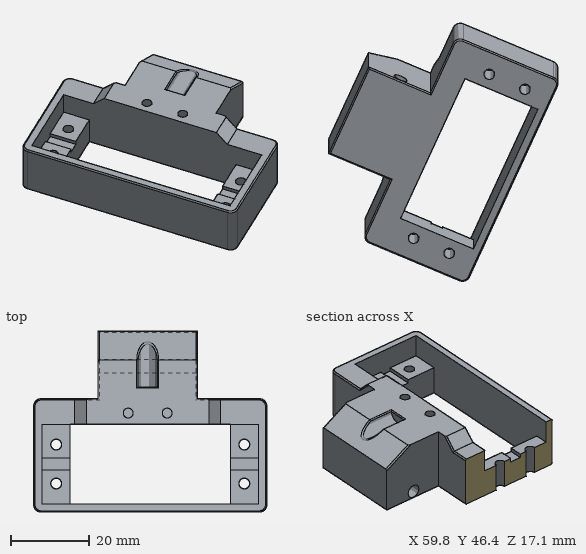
import cadquery as cq
import math

frame_length = 59.8
frame_depth = 29.1
frame_height = 14.0
corner_radius = 2.0
edge_chamfer = 0.35

end_wall = 2.2
front_wall = 2.15
opening_length = frame_length - 2 * end_wall
opening_depth = 20.4
opening_middle_y = front_wall + opening_depth / 2
ledge_width = 7.2
ledge_height = 7.8
ledge_groove_width = 3.1
ledge_groove_depth = 1.0
screw_hole_diameter = 2.7
screw_hole_spacing = 10.0
screw_hole_x = 24.1

block_x = -0.65
block_width = 25.5
total_depth = 46.4
total_height = 17.05
slope_length = 7.35
slope_angle = 30
slope_drop = slope_length * math.tan(math.radians(slope_angle))
slope_start_y = total_depth - slope_length
ridge_top_width = 31.35
ridge_rise = total_height - frame_height
ridge_front_y = front_wall + opening_depth
ridge_depth = frame_depth - ridge_front_y

pin_hole_diameter = 2.5
pin_hole_spacing = 10.0
pin_hole_y = 25.4
pin_hole_depth = 6
cross_hole_diameter = 3.5
cross_hole_y = 37.45
cross_hole_z = 2.3
cable_groove_radius = 2.5
cable_groove_front_y = 32.1
groove_chamfer = 0.3
selection_margin = 0.6


def centered_box(length, depth, height, x, y, z):
    """Box centered on x, with its front at y and its underside at z."""
    return cq.Workplane("XY").box(length, depth, height, centered=(True, False, False)).translate((x, y, z))


def make_frame():
    body = centered_box(frame_length, frame_depth, frame_height, 0, 0, 0)
    return body.edges("|Z").fillet(corner_radius).faces(">Z").chamfer(edge_chamfer)


def make_ridge():
    half_top = ridge_top_width / 2
    half_base = half_top + ridge_rise
    ridge = (
        cq.Workplane("XZ", origin=(block_x, frame_depth, 0))
        .moveTo(-half_base, frame_height)
        .lineTo(-half_top, total_height)
        .lineTo(half_top, total_height)
        .lineTo(half_base, frame_height)
        .lineTo(half_base, 0)
        .lineTo(-half_base, 0)
        .close()
        .extrude(ridge_depth)
    )
    sloped_edges = ridge.faces(">Y").edges("not(|X or |Z)")
    return sloped_edges.chamfer(edge_chamfer)


def make_block():
    block = (
        cq.Workplane("YZ", origin=(block_x - block_width / 2, 0, 0))
        .moveTo(ridge_front_y, 0)
        .lineTo(total_depth, 0)
        .lineTo(total_depth, total_height - slope_drop)
        .lineTo(slope_start_y, total_height)
        .lineTo(ridge_front_y, total_height)
        .close()
        .extrude(block_width)
    )
    return block.edges("not(|X or |Y or |Z)").chamfer(edge_chamfer)


def cut_cable_groove(body):
    """Half-round trough running out through the rear slope, with a chamfered rim."""
    trough = (
        cq.Workplane("XZ", origin=(block_x, cable_groove_front_y, total_height))
        .circle(cable_groove_radius)
        .extrude(cable_groove_front_y - total_depth)
    )
    grooved = body.cut(trough)
    rim_region = cq.selectors.BoxSelector(
        (
            block_x - cable_groove_radius - selection_margin,
            cable_groove_front_y - selection_margin,
            total_height - slope_drop,
        ),
        (
            block_x + cable_groove_radius + selection_margin,
            total_depth - selection_margin,
            total_height + selection_margin,
        ),
    )
    front_arc = cq.selectors.BoxSelector(
        (
            block_x - selection_margin,
            cable_groove_front_y - selection_margin,
            total_height - cable_groove_radius - selection_margin,
        ),
        (
            block_x + selection_margin,
            cable_groove_front_y + selection_margin,
            total_height - selection_margin,
        ),
    )
    rim = grooved.edges(rim_region - front_arc)
    return rim.chamfer(groove_chamfer)


def cut_opening(body):
    inner_length = opening_length - 2 * ledge_width
    upper_height = total_height - ledge_height
    body = body.cut(centered_box(inner_length, opening_depth, total_height, 0, front_wall, 0))
    body = body.cut(centered_box(opening_length, opening_depth, upper_height, 0, front_wall, ledge_height))
    return body.cut(
        centered_box(
            opening_length,
            ledge_groove_width,
            ledge_groove_depth,
            0,
            opening_middle_y - ledge_groove_width / 2,
            ledge_height - ledge_groove_depth,
        )
    )


def drill_holes(body):
    screw_holes = (
        cq.Workplane("XY", origin=(0, opening_middle_y, 0))
        .rarray(2 * screw_hole_x, screw_hole_spacing, 2, 2)
        .circle(screw_hole_diameter / 2)
        .extrude(ledge_height)
    )
    pin_holes = (
        cq.Workplane("XY", origin=(block_x, pin_hole_y, total_height))
        .rarray(pin_hole_spacing, 0.6, 2, 1)
        .circle(pin_hole_diameter / 2)
        .extrude(-pin_hole_depth)
    )
    cross_hole = (
        cq.Workplane("YZ", origin=(block_x, 0, 0))
        .center(cross_hole_y, cross_hole_z)
        .circle(cross_hole_diameter / 2)
        .extrude(block_width, both=True)
    )
    return body.cut(screw_holes).cut(pin_holes).cut(cross_hole)


block = cut_cable_groove(make_block())
body = make_frame().union(make_ridge()).union(block)
body = body.faces("<Z").chamfer(edge_chamfer)
result = drill_holes(cut_opening(body))